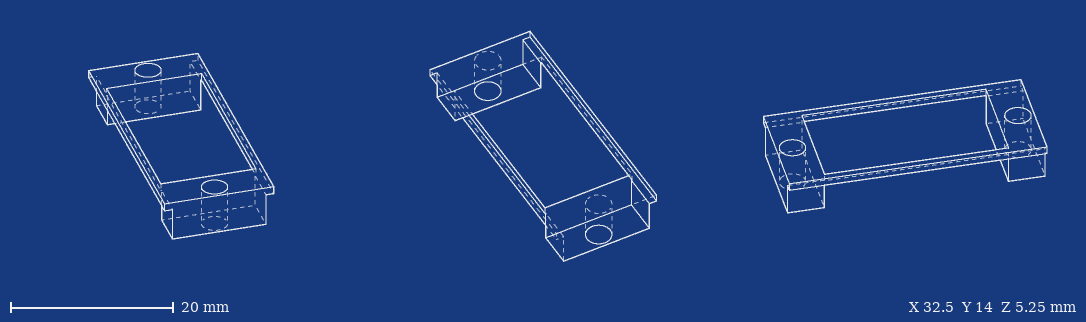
import cadquery as cq

length = 32.5
width = 14.0
height = 5.25

plate_thickness = 1.0
end_width = 4.65
side_rail_width = 0.9
window_length = length - 2 * end_width
window_width = width - 2 * side_rail_width

block_width = 12.0
block_height = height - plate_thickness

hole_diameter = 3.25
hole_spacing = 28.45


def make_frame():
    """Flat plate with a window, its underside at Z = 0."""
    return (
        cq.Workplane("XY")
        .rect(length, width)
        .rect(window_length, window_width)
        .extrude(plate_thickness)
    )


def make_blocks():
    """One block hanging below each end of the frame."""
    block_spacing = length - end_width
    return (
        cq.Workplane("XY")
        .rarray(block_spacing, 0.32, 2, 1)
        .rect(end_width, block_width)
        .extrude(-block_height)
    )


result = (
    make_frame()
    .union(make_blocks())
    .faces(">Z")
    .workplane(origin=(0, 0, plate_thickness))
    .rarray(hole_spacing, 0.32, 2, 1)
    .hole(hole_diameter)
)